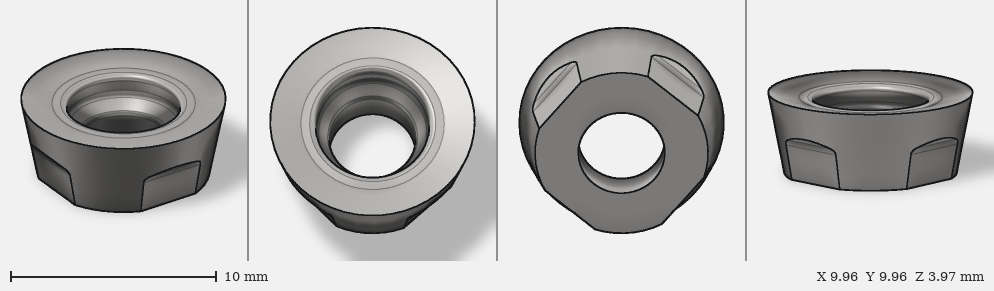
import cadquery as cq
import math

height = 3.97
top_radius = 4.98
relief_angle = 11.0
relief = math.tan(math.radians(relief_angle))
bottom_radius = top_radius - height * relief
land_radius = 3.49
land_depth = 0.23
land_z = height - land_depth

mouth_round = 0.31
wall_radius = 2.76
wall_depth = 1.06
hole_radius = 2.1
seat_top_round = 0.5
seat_bottom_round = 0.35
seat_angle = 42.0

flat_bottom_distance = 3.89
shoulder_distance = 4.66
shoulder_depth = 1.61
shoulder_angle = 45.0
flat_round = 0.6
flat_count = 4
cutter_overshoot = 1.0


def make_body():
    """Revolve the dished cone and its bore as one section."""
    sin_seat = math.sin(math.radians(seat_angle))
    cos_seat = math.cos(math.radians(seat_angle))
    sin_half = math.sin(math.radians(seat_angle / 2))
    cos_half = math.cos(math.radians(seat_angle / 2))

    wall_bottom_z = height - wall_depth
    seat_top_radius = wall_radius - seat_top_round * (1 - cos_seat)
    seat_top_z = wall_bottom_z - seat_top_round * sin_seat
    seat_bottom_radius = hole_radius + seat_bottom_round * (1 - cos_seat)
    seat_drop = (seat_top_radius - seat_bottom_radius) / math.tan(math.radians(seat_angle))
    seat_bottom_z = seat_top_z - seat_drop
    hole_top_z = seat_bottom_z - seat_bottom_round * sin_seat

    seat_top_middle = (
        wall_radius - seat_top_round * (1 - cos_half),
        wall_bottom_z - seat_top_round * sin_half,
    )
    seat_bottom_middle = (
        hole_radius + seat_bottom_round * (1 - cos_half),
        hole_top_z + seat_bottom_round * sin_half,
    )
    mouth_inset = mouth_round * (1 - math.sqrt(0.5))

    return (
        cq.Workplane("XZ")
        .moveTo(hole_radius, 0)
        .lineTo(bottom_radius, 0)
        .lineTo(top_radius, height)
        .lineTo(land_radius, land_z)
        .lineTo(wall_radius + mouth_round, land_z)
        .threePointArc(
            (wall_radius + mouth_inset, land_z - mouth_inset),
            (wall_radius, land_z - mouth_round),
        )
        .lineTo(wall_radius, wall_bottom_z)
        .threePointArc(seat_top_middle, (seat_top_radius, seat_top_z))
        .lineTo(seat_bottom_radius, seat_bottom_z)
        .threePointArc(seat_bottom_middle, (hole_radius, hole_top_z))
        .close()
        .revolve(360, (0, 0, 0), (0, 1, 0))
    )


def make_flat_cutter():
    """Tool for the flat on the +X side, with a rounded inner corner."""
    shoulder_z = height - shoulder_depth
    shoulder_slope = math.tan(math.radians(shoulder_angle))
    corner_z = (
        shoulder_z - shoulder_slope * (shoulder_distance - flat_bottom_distance)
    ) / (1 - shoulder_slope * relief)
    corner_x = flat_bottom_distance + corner_z * relief
    outer_x = top_radius + cutter_overshoot
    outer_z = shoulder_z + shoulder_slope * (outer_x - shoulder_distance)
    low_z = -cutter_overshoot
    return (
        cq.Workplane("XZ")
        .moveTo(flat_bottom_distance + low_z * relief, low_z)
        .lineTo(outer_x, low_z)
        .lineTo(outer_x, outer_z)
        .lineTo(corner_x, corner_z)
        .close()
        .extrude(top_radius, both=True)
        .edges(cq.selectors.NearestToPointSelector((corner_x, 0, corner_z)))
        .fillet(flat_round)
    )


result = make_body()
flat_cutter = make_flat_cutter()
for index in range(flat_count):
    turn = index * 360 / flat_count
    result = result.cut(flat_cutter.rotate((0, 0, 0), (0, 0, 1), turn))